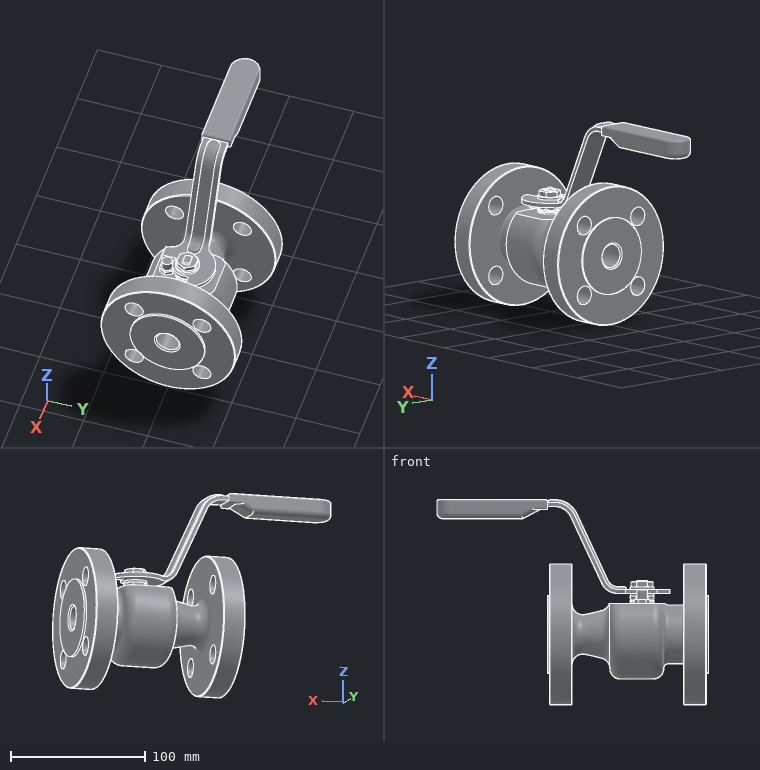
import cadquery as cq
import math


LENGTH = 202.4
HEIGHT = 153.0

DIAGONAL = math.sqrt(0.5)

FLANGE_DIA = 105.0
FLANGE_THICK = 17.0
FLANGE_EDGE = 0.6
LEFT_FLANGE_X = -69.0
RIGHT_FLANGE_X = 30.8
RAISED_FACE_DIA = 58.0
LEFT_RAISED_HEIGHT = 1.2
RIGHT_RAISED_HEIGHT = 1.8
BOLT_HOLE_DIA = 14.0
BOLT_CIRCLE_DIA = 74.9
BOLT_COUNT = 4
FIRST_BOLT_ANGLE = 360 / BOLT_COUNT / 2
LEFT_END = LEFT_FLANGE_X - LEFT_RAISED_HEIGHT
RIGHT_END = RIGHT_FLANGE_X + FLANGE_THICK + RIGHT_RAISED_HEIGHT

BODY_RADIUS = 66.5 / 2
BODY_LEFT = -24.0
BODY_RIGHT = 16.2
BODY_ROUND = 7.9
CONE_ANGLE = math.radians(13)
CONE_START_RADIUS = 15.0
RIGHT_NECK_RADIUS = 44.0 / 2
RIGHT_NECK_ROUND = BODY_RADIUS - BODY_ROUND - RIGHT_NECK_RADIUS
WELD_ROUND = 1.0
PAD_Z = 23.0
PAD_CUT_LEFT = -32.4
PAD_CUT_RIGHT = 24.3

PORT_DIA = 12.7
BORE_DIA = 17.6
MOUTH_CHAMFER = 1.2
PORT_HALF_LENGTH = 16.2
TAPER_LENGTH = 4.0

LEVER_WIDTH = 19.0
LEVER_THICK = 3.2
PLATE_TOP = 33.5
GRIP_STRIP_TOP = 98.4
CRANK_ANGLE = math.radians(65)
LOWER_BEND_END_X = -18.0
LOWER_BEND_RADIUS = 10.1
UPPER_BEND_RADIUS = 16.2
PLATE_RADIUS = 21.0
PLATE_CORNER = 11.1
TOE_RIGHT = -3.8
TOE_LEFT = -12.3
TOE_Y = -20.8
NOTCH_RADIUS = 11.1
NOTCH_TOP_Y = 4.0
RIB_WIDTH = 10.0
RIB_HEIGHT = 2.0
RIB_ROUND = 1.8
RIB_LEFT = -69.8
RIB_RIGHT = -11.7

GRIP_WIDTH = 22.9
GRIP_RIGHT = -70.2
GRIP_LEFT = RIGHT_END - LENGTH
GRIP_TOP = HEIGHT - FLANGE_DIA / 2
GRIP_BOTTOM = 86.0
GRIP_HEEL_BOTTOM = 92.9
GRIP_SLOPE_START = -88.8
GRIP_SLOPE_END = -75.9
GRIP_TOP_ROUND = 1.8
GRIP_BOTTOM_ROUND = 4.5
GRIP_HEEL_ROUND = 1.2

STEM_DIA = 9.3
STEM_FLATS = 5.7
STEM_TOP = 40.0
STEM_CHAMFER = 0.8
COLLAR_DIA = 17.5
WASHER_DIA = 18.0
WASHER_TOP = 35.5
NUT_FLATS = 14.4
NUT_TOP = 39.3
NUT_CHAMFER = 0.6
COLLAR_TOP = 24.0
SEAL_WASHER_TOP = 25.0
GLAND_FLATS = 15.5
GLAND_CHAMFER = 1.6
GLAND_TOP = 28.7

PIN_Y = -15.8
PIN_DIA = 7.9
PIN_TOP = 33.2
PIN_HEX_FLATS = 10.3
PIN_HEX_TOP = 26.1
PIN_HEX_CHAMFER = 0.6


def x_cylinder(diameter, start, end):
    return cq.Workplane("YZ", origin=(start, 0, 0)).circle(diameter / 2).extrude(end - start)


def z_cylinder(diameter, bottom, top, y=0):
    return cq.Workplane("XY", origin=(0, y, bottom)).circle(diameter / 2).extrude(top - bottom)


def hexagon(flats, bottom, top, y=0):
    """Hexagonal prism with two corners on the X direction."""
    corners = flats / math.cos(math.pi / 6)
    return cq.Workplane("XY", origin=(0, y, bottom)).polygon(6, corners).extrude(top - bottom)


def corner_cone(flats, bottom, top, chamfer, faces, y=0):
    """Round envelope that bevels the corners of a hexagon at the chosen end faces."""
    corners = flats / math.cos(math.pi / 6)
    return z_cylinder(corners, bottom, top, y).faces(faces).chamfer(chamfer)


def make_flange(start, raised_start, raised_end):
    bolt_radius = BOLT_CIRCLE_DIA / 2
    disc = x_cylinder(FLANGE_DIA, start, start + FLANGE_THICK).edges().chamfer(FLANGE_EDGE)
    holes = (
        cq.Workplane("YZ", origin=(start, 0, 0))
        .polarArray(bolt_radius, FIRST_BOLT_ANGLE, 360, BOLT_COUNT)
        .circle(BOLT_HOLE_DIA / 2)
        .extrude(FLANGE_THICK)
    )
    return disc.cut(holes).union(x_cylinder(RAISED_FACE_DIA, raised_start, raised_end))


def make_body():
    """Revolved body: flared neck, cone, rounded barrel and straight right neck."""
    r = BODY_ROUND
    sin_c = math.sin(CONE_ANGLE)
    cos_c = math.cos(CONE_ANGLE)

    flange_back = LEFT_FLANGE_X + FLANGE_THICK
    flare_x = flange_back + r
    cone_start_x = flare_x + r * sin_c
    flare_y = CONE_START_RADIUS + r * cos_c

    hollow_x = BODY_LEFT - r
    cone_end_x = hollow_x + r * sin_c
    cone_end_radius = CONE_START_RADIUS + (cone_end_x - cone_start_x) * math.tan(CONE_ANGLE)
    hollow_y = cone_end_radius + r * cos_c
    hollow_mid = (CONE_ANGLE - math.pi / 2) / 2

    shoulder = BODY_RADIUS - r
    left_round_x = BODY_LEFT + r
    right_round_x = BODY_RIGHT - r
    neck = RIGHT_NECK_RADIUS
    neck_x = BODY_RIGHT + RIGHT_NECK_ROUND
    weld_x = RIGHT_FLANGE_X - WELD_ROUND
    weld_y = neck + WELD_ROUND

    profile = (
        cq.Workplane("XY")
        .moveTo(flange_back, 0)
        .lineTo(flange_back, flare_y)
        .threePointArc(
            (flare_x - r * DIAGONAL, flare_y - r * DIAGONAL), (cone_start_x, CONE_START_RADIUS)
        )
        .lineTo(cone_end_x, cone_end_radius)
        .threePointArc(
            (hollow_x + r * math.cos(hollow_mid), hollow_y + r * math.sin(hollow_mid)),
            (BODY_LEFT, hollow_y),
        )
        .lineTo(BODY_LEFT, shoulder)
        .threePointArc(
            (left_round_x - r * DIAGONAL, shoulder + r * DIAGONAL), (left_round_x, BODY_RADIUS)
        )
        .lineTo(right_round_x, BODY_RADIUS)
        .threePointArc(
            (right_round_x + r * DIAGONAL, shoulder + r * DIAGONAL), (BODY_RIGHT, shoulder)
        )
        .threePointArc(
            (neck_x - RIGHT_NECK_ROUND * DIAGONAL, shoulder - RIGHT_NECK_ROUND * DIAGONAL),
            (neck_x, neck),
        )
        .lineTo(weld_x, neck)
        .threePointArc(
            (weld_x + WELD_ROUND * DIAGONAL, weld_y - WELD_ROUND * DIAGONAL),
            (RIGHT_FLANGE_X, weld_y),
        )
        .lineTo(RIGHT_FLANGE_X, 0)
        .close()
    )
    body = profile.revolve(360, (0, 0, 0), (1, 0, 0))
    above_pad = cq.Workplane("XY").box(
        PAD_CUT_RIGHT - PAD_CUT_LEFT, 2 * BODY_RADIUS, BODY_RADIUS, centered=(False, True, False)
    )
    return body.cut(above_pad.translate((PAD_CUT_LEFT, 0, PAD_Z)))


def make_bore():
    """Bore that tapers from the pipe ends, with chamfered mouths, to the port in the ball."""
    mouth = BORE_DIA / 2 + MOUTH_CHAMFER
    return (
        cq.Workplane("XY")
        .moveTo(LEFT_END, 0)
        .lineTo(LEFT_END, mouth)
        .lineTo(LEFT_END + MOUTH_CHAMFER, BORE_DIA / 2)
        .lineTo(-PORT_HALF_LENGTH - TAPER_LENGTH, BORE_DIA / 2)
        .lineTo(-PORT_HALF_LENGTH, PORT_DIA / 2)
        .lineTo(PORT_HALF_LENGTH, PORT_DIA / 2)
        .lineTo(PORT_HALF_LENGTH + TAPER_LENGTH, BORE_DIA / 2)
        .lineTo(RIGHT_END - MOUTH_CHAMFER, BORE_DIA / 2)
        .lineTo(RIGHT_END, mouth)
        .lineTo(RIGHT_END, 0)
        .close()
        .revolve(360, (0, 0, 0), (1, 0, 0))
    )


def crank_points(offset):
    """Bend points of a line lying a given height above the top face of the lever."""
    lower_r = LOWER_BEND_RADIUS - offset
    upper_r = UPPER_BEND_RADIUS + offset
    half = CRANK_ANGLE / 2
    turn_x = math.sin(CRANK_ANGLE)
    turn_z = 1 - math.cos(CRANK_ANGLE)
    low_z = PLATE_TOP + offset
    high_z = GRIP_STRIP_TOP + offset

    bend_height = (LOWER_BEND_RADIUS + UPPER_BEND_RADIUS) * turn_z
    rise = GRIP_STRIP_TOP - PLATE_TOP - bend_height
    upper_x = (
        LOWER_BEND_END_X
        - (LOWER_BEND_RADIUS + UPPER_BEND_RADIUS) * turn_x
        - rise / math.tan(CRANK_ANGLE)
    )
    return {
        "low_end": (LOWER_BEND_END_X, low_z),
        "low_mid": (
            LOWER_BEND_END_X - lower_r * math.sin(half), low_z + lower_r * (1 - math.cos(half))
        ),
        "low_start": (LOWER_BEND_END_X - lower_r * turn_x, low_z + lower_r * turn_z),
        "high_end": (upper_x + upper_r * turn_x, high_z - upper_r * turn_z),
        "high_mid": (upper_x + upper_r * math.sin(half), high_z - upper_r * (1 - math.cos(half))),
        "high_start": (upper_x, high_z),
    }


def crank_band(bottom, top, left, right, width):
    """Cranked sheet between two heights measured from the top face of the lever."""
    under = crank_points(bottom)
    over = crank_points(top)
    return (
        cq.Workplane("XZ")
        .moveTo(left, GRIP_STRIP_TOP + bottom)
        .lineTo(*under["high_start"])
        .threePointArc(under["high_mid"], under["high_end"])
        .lineTo(*under["low_start"])
        .threePointArc(under["low_mid"], under["low_end"])
        .lineTo(right, PLATE_TOP + bottom)
        .lineTo(right, PLATE_TOP + top)
        .lineTo(*over["low_end"])
        .threePointArc(over["low_mid"], over["low_start"])
        .lineTo(*over["high_end"])
        .threePointArc(over["high_mid"], over["high_start"])
        .lineTo(left, GRIP_STRIP_TOP + top)
        .close()
        .extrude(width / 2, both=True)
    )


def make_lever_strip():
    """Bent sheet trimmed to the strip with its rounded stop plate."""
    half = LEVER_WIDTH / 2
    corner = PLATE_CORNER

    upper_y = half + corner
    upper_x = -math.sqrt((PLATE_RADIUS + corner) ** 2 - upper_y**2)
    on_circle = PLATE_RADIUS / (PLATE_RADIUS + corner)
    to_strip = -math.pi / 2
    to_plate = math.atan2(-upper_y, -upper_x)
    upper_mid = (to_strip + to_plate) / 2

    lower_x = TOE_LEFT - corner
    lower_y = -half - corner

    notch_start_y = -math.sqrt(NOTCH_RADIUS**2 - TOE_RIGHT**2)
    tip_x = math.sqrt(PLATE_RADIUS**2 - NOTCH_TOP_Y**2)
    plan = (
        cq.Workplane("XY")
        .moveTo(GRIP_RIGHT, half)
        .lineTo(upper_x, half)
        .threePointArc(
            (upper_x + corner * math.cos(upper_mid), upper_y + corner * math.sin(upper_mid)),
            (upper_x * on_circle, upper_y * on_circle),
        )
        .threePointArc((0, PLATE_RADIUS), (tip_x, NOTCH_TOP_Y))
        .lineTo(NOTCH_RADIUS, NOTCH_TOP_Y)
        .lineTo(NOTCH_RADIUS, 0)
        .threePointArc((NOTCH_RADIUS * DIAGONAL, -NOTCH_RADIUS * DIAGONAL), (TOE_RIGHT, notch_start_y))
        .lineTo(TOE_RIGHT, TOE_Y)
        .lineTo(TOE_LEFT, TOE_Y)
        .lineTo(TOE_LEFT, lower_y)
        .threePointArc((lower_x + corner * DIAGONAL, lower_y + corner * DIAGONAL), (lower_x, -half))
        .lineTo(GRIP_RIGHT, -half)
        .close()
        .extrude(GRIP_TOP)
    )
    blank_width = 3 * PLATE_RADIUS
    blank = crank_band(-LEVER_THICK, 0, GRIP_RIGHT, PLATE_RADIUS, blank_width)
    return blank.intersect(plan)


def make_rib():
    """Rounded stiffening rib that follows the top face of the strip."""
    length = RIB_RIGHT - RIB_LEFT
    plan = (
        cq.Workplane("XY")
        .center((RIB_LEFT + RIB_RIGHT) / 2, 0)
        .slot2D(length, RIB_WIDTH)
        .extrude(GRIP_TOP + RIB_HEIGHT)
    )
    band = crank_band(-LEVER_THICK / 2, RIB_HEIGHT, RIB_LEFT, RIB_RIGHT, LEVER_WIDTH)
    return band.intersect(plan).faces(">Z").edges().fillet(RIB_ROUND)


def make_grip():
    """Sleeve with a round end, sloping up underneath towards the strip."""
    side = (
        cq.Workplane("XZ")
        .moveTo(GRIP_LEFT, GRIP_TOP)
        .lineTo(GRIP_RIGHT, GRIP_TOP)
        .lineTo(GRIP_RIGHT, GRIP_HEEL_BOTTOM)
        .lineTo(GRIP_SLOPE_END, GRIP_HEEL_BOTTOM)
        .lineTo(GRIP_SLOPE_START, GRIP_BOTTOM)
        .lineTo(GRIP_LEFT, GRIP_BOTTOM)
        .close()
        .extrude(GRIP_WIDTH / 2, both=True)
    )
    half = GRIP_WIDTH / 2
    plan = (
        cq.Workplane("XY")
        .moveTo(GRIP_RIGHT, -half)
        .lineTo(GRIP_RIGHT, half)
        .lineTo(GRIP_LEFT + half, half)
        .threePointArc((GRIP_LEFT, 0), (GRIP_LEFT + half, -half))
        .close()
        .extrude(GRIP_TOP)
    )
    grip = side.intersect(plan)
    grip = grip.edges("|Z and >X").fillet(GRIP_TOP_ROUND)
    grip = grip.faces(">Z").edges().fillet(GRIP_TOP_ROUND)

    margin = GRIP_HEEL_ROUND
    below_heel = cq.selectors.BoxSelector(
        (GRIP_LEFT - margin, -GRIP_WIDTH, GRIP_BOTTOM - margin),
        (GRIP_RIGHT, GRIP_WIDTH, GRIP_HEEL_BOTTOM - margin),
    )
    grip = grip.edges(below_heel).edges("not |Y").fillet(GRIP_BOTTOM_ROUND)

    heel = cq.selectors.BoxSelector(
        (GRIP_SLOPE_START, -GRIP_WIDTH, GRIP_HEEL_BOTTOM - margin),
        (GRIP_RIGHT, GRIP_WIDTH, GRIP_HEEL_BOTTOM + margin),
    )
    return grip.edges(heel).edges("|X").fillet(GRIP_HEEL_ROUND)


def make_stem():
    collar = z_cylinder(COLLAR_DIA, PAD_Z, COLLAR_TOP)
    seal_washer = z_cylinder(WASHER_DIA, COLLAR_TOP, SEAL_WASHER_TOP)
    gland = hexagon(GLAND_FLATS, SEAL_WASHER_TOP, GLAND_TOP).intersect(
        corner_cone(GLAND_FLATS, SEAL_WASHER_TOP, GLAND_TOP, GLAND_CHAMFER, "<Z")
    )
    spacer = z_cylinder(COLLAR_DIA, GLAND_TOP, PLATE_TOP - LEVER_THICK)
    washer = z_cylinder(WASHER_DIA, PLATE_TOP, WASHER_TOP)
    nut = hexagon(NUT_FLATS, WASHER_TOP, NUT_TOP).intersect(
        corner_cone(NUT_FLATS, WASHER_TOP, NUT_TOP, NUT_CHAMFER, "<Z or >Z")
    )
    flats = cq.Workplane("XY").box(STEM_DIA, STEM_FLATS, STEM_TOP, centered=(True, True, False))
    stem = z_cylinder(STEM_DIA, PAD_Z, STEM_TOP).faces(">Z").chamfer(STEM_CHAMFER).intersect(flats)
    stack = collar
    for item in (seal_washer, gland, spacer, washer, nut, stem):
        stack = stack.union(item)
    return stack


def make_stop_pin():
    head = hexagon(PIN_HEX_FLATS, PAD_Z, PIN_HEX_TOP, PIN_Y).intersect(
        corner_cone(PIN_HEX_FLATS, PAD_Z, PIN_HEX_TOP, PIN_HEX_CHAMFER, ">Z", PIN_Y)
    )
    return head.union(z_cylinder(PIN_DIA, PIN_HEX_TOP, PIN_TOP, PIN_Y))


left_flange = make_flange(LEFT_FLANGE_X, LEFT_END, LEFT_FLANGE_X)
right_flange = make_flange(RIGHT_FLANGE_X, RIGHT_FLANGE_X + FLANGE_THICK, RIGHT_END)
valve = make_body().union(left_flange).union(right_flange).cut(make_bore())
lever = make_lever_strip().union(make_rib()).union(make_grip())
result = valve.union(make_stem()).union(make_stop_pin()).union(lever)